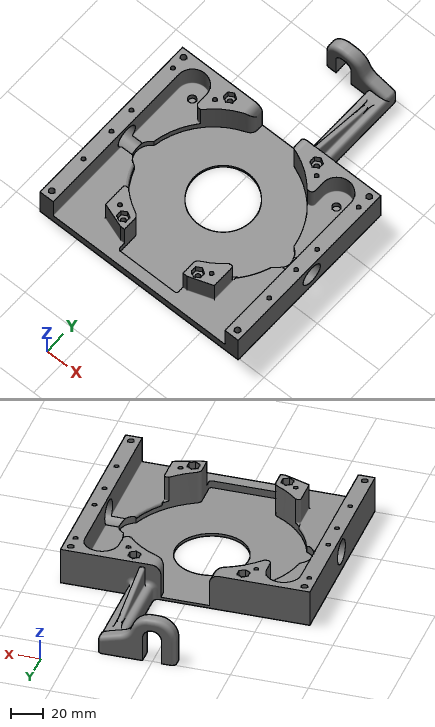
import cadquery as cq
import math


half_width = 80.0
front_y = -79.0
back_y = 55.0
tray_height = 24.5
floor_z = 7.0
recess_floor_z = 2.0
bore_radius = 23.5

channel_half_width = 69.3
floor_fillet = 0.5
pocket_end_y = 49.9
back_block_half_width = 47.3
back_block_front_y = 28.9
back_block_corner = 2.8
pocket_radius = (channel_half_width - back_block_half_width) / 2

post_half_width = 43.8
post_back_y = -41.6
post_corner_y = -59.4
post_tip_half_width = 26.9
post_front_y = -65.2
post_corner_radius = 1.2

upper_disc_y = -9.0
upper_disc_radius = 57.4
lower_disc_radius = 58.2
recess_edge_fillet = 1.8
tongue_half_width = 23.6
tongue_front_y = -71.1
tongue_corner = 1.6
tongue_neck_radius = 4.0
slot_half_width = 15.5
slot_neck_radius = 5.9
slot_edge_radius = 6.0

cross_y = -9.9
cross_z = 13.3
cross_radius = 8.0
bay_reach = 62.0
bay_radius = 11.3

screw_depth = 10.0
wall_hole_x = 75.0
wall_screw_radius = 2.0
wall_screw_ys = [49.9, -73.7]
pin_radius = 1.5
wall_pin_ys = [40.0, 1.0, -44.0]
inset_wall_pin = (74.5, -18.2)
pad_pins = [(41.0, 40.0), (37.0, -54.0)]
nut_holes = [(35.0, 47.0), (30.0, -58.8)]
nut_across_corners = 8.3
nut_depth = 5.0
corner_turn = (0, 0, 90)
nut_bore_radius = 1.8
pocket_hole_x = 58.2
pocket_hole_y = 38.5
pocket_hole_radius = 2.8
pocket_hole_depth = 4.0

arm_left_x = 19.8
arm_right_x = 35.0
arm_height = 10.0
arm_left_fillet = 3.2
arm_right_fillet = 2.0
arm_root_fillet = 3.0
rib_width = 4.0
rib_root_z = 21.8
rib_tip_y = 106.7
rib_fillet = 1.0

hook_back_y = 123.0
hook_thickness = 10.0
hook_front_y = hook_back_y - hook_thickness
hook_top_z = 29.5
hook_arc_radius = 13.0
hook_arc_z = hook_top_z - hook_arc_radius
hook_flat_half = 2.0
hook_outer_half = hook_flat_half + hook_arc_radius
hook_slot_half = 6.0
shoulder_start_x = 12.1
shoulder_start_z = 17.4
shoulder_end_z = 11.0
shoulder_blend = 8.9
hook_end_fillet = 2.5
hook_rim_fillet = 3.0

overrun = 10.0
pick_size = 0.6


def box(x0, x1, y0, y1, z0, z1):
    return cq.Workplane("XY").box(x1 - x0, y1 - y0, z1 - z0, centered=False).translate((x0, y0, z0))


def cylinder(x, y, radius, z0, z1):
    return cq.Workplane("XY", origin=(x, y, z0)).circle(radius).extrude(z1 - z0)


def mirrored(points):
    """Each point and its mirror image across the middle plane of the tray."""
    return [(side * x, y) for x, y in points for side in (-1, 1)]


def around(low, high):
    """Selector for edges whose middle lies in the box from low to high, widened by the pick size."""
    return cq.selectors.BoxSelector([v - pick_size for v in low], [v + pick_size for v in high])


def make_channel():
    """Open-fronted channel with two round-ended pockets, cut around the back block and the posts."""
    pocket_x = channel_half_width - pocket_radius
    pocket_y = pocket_end_y - pocket_radius
    channel = box(-channel_half_width, channel_half_width, front_y - overrun, pocket_y,
                  floor_z, tray_height)
    back_block = box(-back_block_half_width, back_block_half_width, back_block_front_y, back_y,
                     floor_z, tray_height)
    back_block = back_block.edges("|Z and <Y").fillet(back_block_corner)
    right_side = [(post_half_width, post_back_y), (post_half_width, post_corner_y),
                  (post_tip_half_width, post_front_y)]
    left_side = [(-x, y) for x, y in reversed(right_side)]
    posts = cq.Workplane("XY", origin=(0, 0, floor_z)).polyline(right_side + left_side).close()
    posts = posts.extrude(tray_height - floor_z)
    posts = posts.edges("|Z and >Y").fillet(post_corner_radius)
    channel = channel.cut(back_block)
    for x in (-pocket_x, pocket_x):
        channel = channel.union(cylinder(x, pocket_y, pocket_radius, floor_z, tray_height))
    return channel.cut(posts).faces("<Z").edges().fillet(floor_fillet)


def make_recess():
    """Round recess with a front tongue, a slot through the back and a bay at each end of the cross bore."""
    recess = cylinder(0, upper_disc_y, upper_disc_radius, recess_floor_z, tray_height)
    recess = recess.intersect(cylinder(0, 0, lower_disc_radius, recess_floor_z, tray_height))
    tongue = box(-tongue_half_width, tongue_half_width, tongue_front_y, 0, recess_floor_z, tray_height)
    tongue = tongue.edges("|Z and <Y").fillet(tongue_corner)
    slot = box(-slot_half_width, slot_half_width, 0, back_y + overrun, recess_floor_z, tray_height)
    recess = recess.union(tongue).union(slot)
    tongue_neck_y = -math.sqrt(lower_disc_radius ** 2 - tongue_half_width ** 2)
    slot_neck_y = upper_disc_y + math.sqrt(upper_disc_radius ** 2 - slot_half_width ** 2)
    mid_z = (recess_floor_z + tray_height) / 2
    necks = [(tongue_half_width, tongue_neck_y, tongue_neck_radius),
             (slot_half_width, slot_neck_y, slot_neck_radius)]
    for half_gap, neck_y, radius in necks:
        for x in (-half_gap, half_gap):
            corner = (x, neck_y, mid_z)
            recess = recess.edges(around(corner, corner)).fillet(radius)
    bay_x = bay_reach - bay_radius
    for x in (-bay_x, bay_x):
        recess = recess.union(cylinder(x, upper_disc_y, bay_radius, recess_floor_z, tray_height))
    return recess


def make_slot_rounding():
    """Material to remove so that the top edges of the back slot are rounded."""
    outer = slot_half_width + slot_edge_radius
    low_z = tray_height - slot_edge_radius
    cutter = box(-outer, outer, 0, back_y, low_z, tray_height)
    for x in (-outer, outer):
        edge = cq.Workplane("XZ", origin=(x, back_y, low_z)).circle(slot_edge_radius).extrude(back_y)
        cutter = cutter.cut(edge)
    return cutter


def make_recess_rounding():
    """Material to remove so that the recess rim is rounded between each post and the bay behind it."""
    outer = lower_disc_radius + recess_edge_fillet
    low_z = floor_z - recess_edge_fillet
    ring = cylinder(0, 0, outer, low_z, floor_z)
    rim = cq.Workplane("XZ").center(outer, low_z).circle(recess_edge_fillet)
    rim = rim.revolve(360, (-outer, 0), (-outer, 1))
    ring = ring.cut(rim)
    ring = ring.intersect(box(-outer, outer, post_back_y, cross_y, low_z, floor_z))
    return ring.cut(box(-post_half_width, post_half_width, post_back_y, cross_y, low_z, floor_z))


def make_tray():
    tray = box(-half_width, half_width, front_y, back_y, 0, tray_height)
    tray = tray.cut(make_channel()).cut(make_recess()).cut(make_slot_rounding())
    tray = tray.cut(make_recess_rounding())
    cross = cq.Workplane("YZ", origin=(-half_width, cross_y, cross_z)).circle(cross_radius)
    tray = tray.cut(cross.extrude(2 * half_width))
    return tray.cut(cylinder(0, 0, bore_radius, 0, tray_height))


def drill_holes(tray):
    top = tray_height
    for x, y in mirrored([(wall_hole_x, y) for y in wall_screw_ys]):
        tray = tray.cut(cylinder(x, y, wall_screw_radius, top - screw_depth, top))
    pins = [(wall_hole_x, y) for y in wall_pin_ys] + [inset_wall_pin] + pad_pins
    for x, y in mirrored(pins):
        tray = tray.cut(cylinder(x, y, pin_radius, top - screw_depth, top))
    for x, y in mirrored(nut_holes):
        nut = cq.Workplane("XY", origin=(x, y, top - nut_depth)).transformed(rotate=corner_turn)
        nut = nut.polygon(6, nut_across_corners).extrude(nut_depth)
        tray = tray.cut(nut).cut(cylinder(x, y, nut_bore_radius, 0, top))
    for x, y in mirrored([(pocket_hole_x, pocket_hole_y)]):
        tray = tray.cut(cylinder(x, y, pocket_hole_radius, floor_z - pocket_hole_depth, floor_z))
    return tray


def add_arm(tray):
    arm = box(arm_left_x, arm_right_x, back_y, hook_front_y + hook_thickness / 2, 0, arm_height)
    arm = arm.edges("|Y and >Z and <X").fillet(arm_left_fillet)
    arm = arm.edges("|Y and >Z and >X").fillet(arm_right_fillet)
    part = tray.union(arm)
    root = around((arm_left_x, back_y, 2 * pick_size), (arm_right_x, back_y, arm_height))
    return part.edges(root).fillet(arm_root_fillet)


def make_rib():
    """Triangular rib along the middle of the arm, with a rounded ridge and fillets along its foot."""
    middle = (arm_left_x + arm_right_x) / 2
    half = rib_width / 2
    foot_half = half + rib_fillet
    slope = (rib_root_z - arm_height) / (rib_tip_y - back_y)
    buried_tip_y = rib_tip_y + arm_height / slope

    def wedge(half_thickness):
        profile = [(back_y, 0), (buried_tip_y, 0), (back_y, rib_root_z)]
        plane = cq.Workplane("YZ", origin=(middle, 0, 0))
        return plane.polyline(profile).close().extrude(half_thickness, both=True)

    web = wedge(half).faces(">Z").edges("not |X").fillet(rib_fillet)
    foot = (cq.Workplane("XZ", origin=(middle, buried_tip_y, arm_height))
            .moveTo(-foot_half, 0).radiusArc((-half, rib_fillet), -rib_fillet)
            .lineTo(half, rib_fillet).radiusArc((foot_half, 0), -rib_fillet)
            .close().extrude(buried_tip_y - back_y))
    foot = foot.intersect(wedge(foot_half))
    above_arm = box(arm_left_x, arm_right_x, back_y, hook_front_y, 0, rib_root_z)
    return web.union(foot).intersect(above_arm)


def make_hook():
    """Arched hook on the end of the arm, whose shoulder slopes down to the arm's outer side."""
    plane = cq.Workplane("XZ", origin=(0, hook_back_y, 0))
    arch = (plane.moveTo(-hook_outer_half, 0).lineTo(-hook_outer_half, hook_arc_z)
            .radiusArc((-hook_flat_half, hook_top_z), hook_arc_radius)
            .lineTo(hook_flat_half, hook_top_z)
            .radiusArc((hook_outer_half, hook_arc_z), hook_arc_radius)
            .lineTo(hook_outer_half, 0).close().extrude(hook_thickness))
    shoulder = (plane.moveTo(hook_flat_half, 0).lineTo(hook_flat_half, shoulder_start_z)
                .lineTo(shoulder_start_x, shoulder_start_z)
                .lineTo(arm_right_x, shoulder_end_z).lineTo(arm_right_x, 0).close().extrude(hook_thickness))
    hook = arch.union(shoulder)
    middle_y = hook_front_y + hook_thickness / 2
    seam_top_z = hook_arc_z + hook_arc_radius / 2
    seam = around((hook_flat_half, middle_y, shoulder_end_z), (hook_outer_half, middle_y, seam_top_z))
    hook = hook.edges("|Y").edges(seam).fillet(shoulder_blend)
    end = (arm_right_x, middle_y, shoulder_end_z)
    hook = hook.edges(around(end, end)).fillet(hook_end_fillet)
    slot = (plane.moveTo(-hook_slot_half, 0).lineTo(-hook_slot_half, hook_arc_z)
            .radiusArc((hook_slot_half, hook_arc_z), hook_slot_half)
            .lineTo(hook_slot_half, 0).close().extrude(hook_thickness))
    rims = around((-hook_outer_half, hook_front_y, 2 * pick_size), (arm_right_x, hook_back_y, hook_top_z))
    hook = hook.faces("<Y or >Y").edges(rims).fillet(hook_rim_fillet)
    return hook.cut(slot)


result = add_arm(drill_holes(make_tray())).union(make_rib()).union(make_hook())